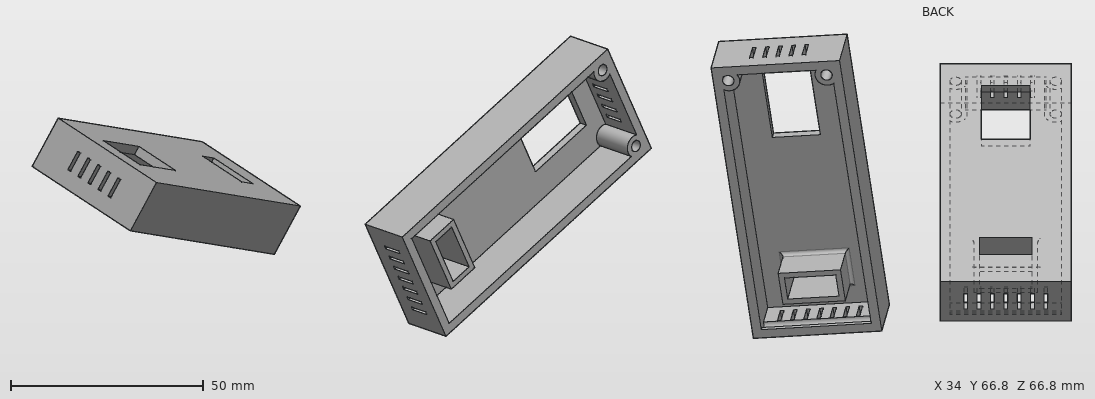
import cadquery as cq
import math


tilted_span = 66.8
width = 34.0
depth = 14.5
tilt = 135.0
length = tilted_span * math.sqrt(2) - depth
wall = 2.5
cavity_width = width - 2 * wall
cavity_length = length - 2 * wall

boss_diameter = 6.0
hole_diameter = 3.0
boss_inset = 4.0

groove_diameter = 3.0
groove_depth_from_rim = 2.7

vent_width = 0.95
vent_pitch = 3.5
vent_depth_from_rim = 4.5
vent_height = 5.5
low_end_vents = 7
high_end_vents = 5

window_width = 12.7
window_length = 19.8
window_start = 52.25

socket_opening_width = 13.55
socket_opening_length = 6.2
socket_wall = 1.5
socket_center = 13.0
socket_drop = 2.0
socket_fillet = 1.0
socket_width = socket_opening_width + 2 * socket_wall
socket_length = socket_opening_length + 2 * socket_wall


def block(size_x, size_y, bottom, top, center_y):
    """Box centred on X, spanning bottom to top in Z."""
    return cq.Workplane("XY", origin=(0, center_y, bottom)).rect(size_x, size_y).extrude(top - bottom)


def make_shell():
    outer = block(width, length, 0, depth, length / 2)
    cavity = block(cavity_width, cavity_length, wall, depth, length / 2)
    return outer.cut(cavity)


def add_socket(body):
    socket = block(socket_width, socket_length, wall, depth - socket_drop, socket_center)
    reach = socket_fillet + wall / 10
    foot = cq.selectors.BoxSelector(
        (-socket_width / 2 - reach, socket_center - socket_length / 2 - reach, wall - reach),
        (socket_width / 2 + reach, socket_center + socket_length / 2 + reach, wall + reach),
    )
    body = body.union(socket).edges(foot).edges("#Z").fillet(socket_fillet)
    opening = block(socket_opening_width, socket_opening_length, 0, depth, socket_center)
    return body.cut(opening)


def add_screw_bosses(body):
    boss_x = width / 2 - boss_inset
    centers = [(side * boss_x, length - boss_inset) for side in (-1, 1)]
    cover_inside = cq.Workplane("XY", origin=(0, 0, wall)).pushPoints(centers)
    bosses = cover_inside.circle(boss_diameter / 2).extrude(depth - wall)
    holes = cover_inside.circle(hole_diameter / 2).extrude(depth - wall)
    return body.union(bosses).cut(holes)


def cut_groove(body):
    groove = (
        cq.Workplane("YZ", origin=(-cavity_width / 2, 0, 0))
        .center(wall, depth - groove_depth_from_rim)
        .circle(groove_diameter / 2)
        .extrude(cavity_width)
    )
    return body.cut(groove)


def cut_vents(body, count, wall_center_y):
    vent_center_z = depth - vent_depth_from_rim - vent_height / 2
    vents = (
        cq.Workplane("XY", origin=(0, wall_center_y, vent_center_z))
        .rarray(vent_pitch, 0.7, count, 1)
        .box(vent_width, wall, vent_height)
    )
    return body.cut(vents)


def cut_window(body):
    return body.cut(block(window_width, window_length, 0, wall, window_start + window_length / 2))


case = add_socket(make_shell())
case = add_screw_bosses(case)
case = cut_groove(case)
case = cut_vents(case, low_end_vents, wall / 2)
case = cut_vents(case, high_end_vents, length - wall / 2)
case = cut_window(case)

result = case.translate((0, -length / 2, -depth / 2)).rotate((0, 0, 0), (1, 0, 0), tilt)